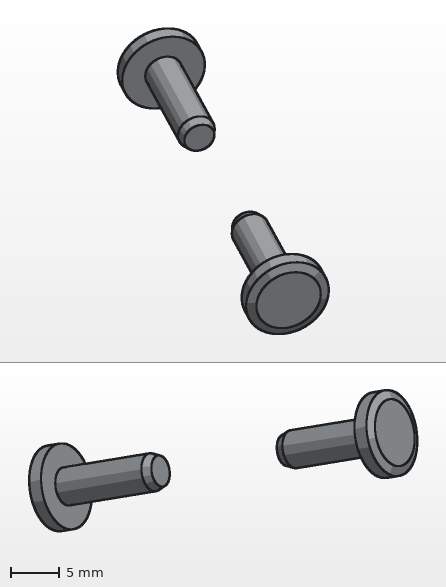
import cadquery as cq
import math

head_radius = 4.5
head_thickness = 1.9
head_bevel_width = 1.0
head_bevel_angle = 20.0
head_bevel_depth = head_bevel_width * math.tan(math.radians(head_bevel_angle))
head_face_radius = head_radius - head_bevel_width

shank_radius = 2.0
shank_length = 12.0
tip_length = 1.0
tip_angle = 20.0
tip_radius = shank_radius - tip_length * math.tan(math.radians(tip_angle))

tip_gap = 16.0
tip_x = tip_gap / 2
shoulder_x = tip_x + shank_length
face_x = shoulder_x + head_thickness


def make_pin(side):
    """Headed pin on the X axis; side is -1 for the left pin and +1 for the right pin."""
    half_profile = [
        (tip_x, 0),
        (tip_x, tip_radius),
        (tip_x + tip_length, shank_radius),
        (shoulder_x, shank_radius),
        (shoulder_x, head_radius),
        (face_x - head_bevel_depth, head_radius),
        (face_x, head_face_radius),
        (face_x, 0),
    ]
    return (
        cq.Workplane("XZ")
        .polyline([(side * x, radius) for x, radius in half_profile])
        .close()
        .revolve(360, (0, 0), (1, 0))
    )


pins = [make_pin(side) for side in (-1, 1)]

result = cq.Compound.makeCompound([pin.val() for pin in pins])